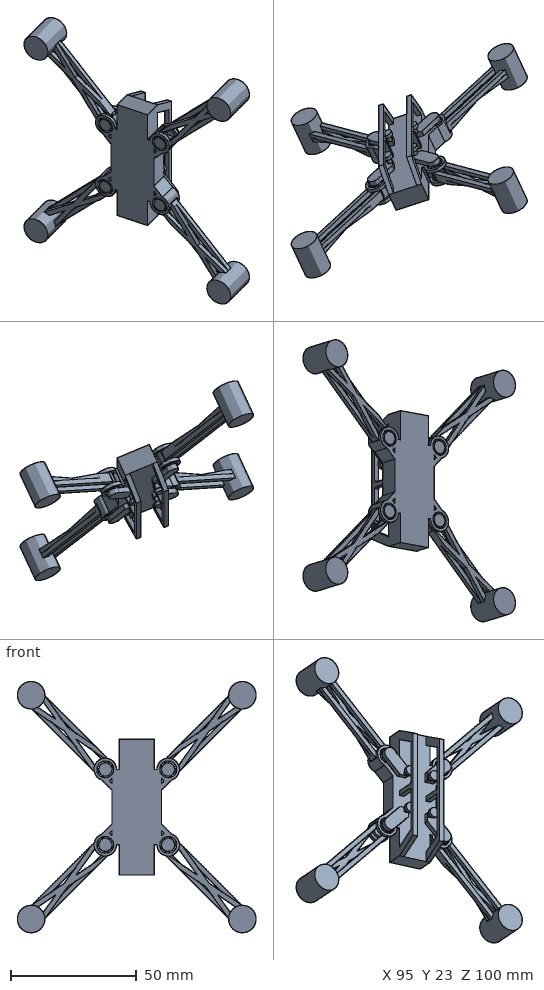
import cadquery as cq
import math

bar_width = 14.0
bar_height = 54.0
middle_width = 19.8
housing_depth = 8.0

hinge_x = 12.5
hinge_z = 15.0
arm_angle = 45.0
fork_diameter = 9.0
fork_plate = 1.5
fork_web_width = 8.0
hinge_hole_diameter = 6.6
relief_along = 4.4
relief_aside = 2.1

skid_thickness = 2.0
skid_back = 19.0
skid_back_height = 44.0
skid_rail_depth = 2.0
skid_window_height = 38.0
skid_strut_height = 2.0
skid_strut_chamfer = 0.6

motor_diameter = 11.0
motor_front = -4.0
motor_length = 15.0
motor_offset = 29.5
arm_reach = motor_offset * math.sqrt(2)
arm_width = 7.5
arm_front = 2.0
arm_depth = 4.0
rail_width = 2.0
arm_corner = 1.2
brace_width = 2.0
brace_depth = arm_depth / 2
rising_brace_cross = 21.0
rising_brace_angle = 9.2
falling_brace_cross = 23.5
falling_brace_angle = -10.8

pin_diameter = 5.3
lever_gap = 0.3
lever_thickness = 2.2
post_distance = 10.0
stem_diameter = 2.0
stem_length = 2.3
head_diameter = 4.0
head_length = 1.5

lever_front = housing_depth + lever_gap
lever_back = lever_front + lever_thickness


def slab(front, depth, outline):
    """Extrude an XZ outline from Y = front towards +Y."""
    plane = cq.Plane(origin=(0, front, 0), xDir=(1, 0, 0), normal=(0, -1, 0))
    return outline(cq.Workplane(plane)).extrude(-depth)


def block(x_range, z_range, front, depth):
    """Box given by its X range, Z range, front Y and depth."""
    x0, x1 = x_range
    z0, z1 = z_range
    return cq.Workplane("XY").box(x1 - x0, depth, z1 - z0, centered=False).translate((x0, front, z0))


def disc(diameter, front, depth, x=0.0):
    """Cylinder along Y, with its axis at the given X and Z = 0."""
    return slab(front, depth, lambda wp: wp.center(x, 0).circle(diameter / 2))


def place_on_hinge(shape):
    """Turn the +X arm line of a shape to the arm angle and put its origin on the upper right hinge."""
    return shape.rotate((0, 0, 0), (0, 1, 0), -arm_angle).translate((hinge_x, 0, hinge_z))


def on_four_corners(shape):
    """The upper right shape and its mirror images in the other three corners."""
    right = [shape, shape.mirror("XY")]
    return right + [item.mirror("YZ") for item in right]


def make_fork():
    """Round fork blank with a web that slopes down to the housing."""
    web_length = hinge_x * math.sqrt(2)
    web = block((-web_length, 0), (-fork_web_width / 2, fork_web_width / 2), 0, housing_depth)
    relief = block((-web_length, -relief_along), (-relief_aside, web_length), 0, housing_depth)
    web = place_on_hinge(web.cut(relief))
    above_hinge = block((-bar_height, bar_height), (hinge_z, bar_height), 0, housing_depth)
    return place_on_hinge(disc(fork_diameter, 0, housing_depth)).union(web.cut(above_hinge))


def make_hinge_cut():
    """Hole for the hinge pin and the gap between the fork plates, open upwards for folding."""
    gap_x = (hinge_x - fork_diameter / 2, hinge_x + fork_diameter)
    gap_z = (hinge_z - arm_corner, hinge_z + fork_diameter)
    gap = block(gap_x, gap_z, fork_plate, housing_depth - 2 * fork_plate)
    return gap.union(place_on_hinge(disc(hinge_hole_diameter, 0, housing_depth)))


def make_skid():
    """Skid frame in the YZ plane, with a strut at mid height."""
    half_bar = bar_height / 2
    half_back = skid_back_height / 2
    window_back = skid_back - skid_rail_depth
    half_window = skid_window_height / 2
    slope = (half_bar - half_back) / (skid_back - housing_depth)
    half_window_root = half_window + slope * (window_back - housing_depth)
    half_strut = skid_strut_height / 2

    frame = cq.Workplane("YZ").polyline([
        (housing_depth, -half_bar),
        (skid_back, -half_back),
        (skid_back, half_back),
        (housing_depth, half_bar),
    ]).close().extrude(skid_thickness)
    window = cq.Workplane("YZ").polyline([
        (housing_depth, half_strut),
        (window_back - skid_strut_chamfer, half_strut),
        (window_back, half_strut + skid_strut_chamfer),
        (window_back, half_window),
        (housing_depth, half_window_root),
    ]).close().extrude(skid_thickness)
    frame = frame.cut(window).cut(window.mirror("XY"))
    return frame.translate((bar_width / 2 - skid_thickness, 0, 0))


def make_housing():
    half_bar = bar_width / 2
    half_middle = middle_width / 2
    body = block((-half_bar, half_bar), (-bar_height / 2, bar_height / 2), 0, housing_depth)
    for fork in on_four_corners(make_fork()):
        body = body.union(fork)
    body = body.union(block((-half_middle, half_middle), (-hinge_z, hinge_z), 0, housing_depth))
    for hinge_cut in on_four_corners(make_hinge_cut()):
        body = body.cut(hinge_cut)
    skid = make_skid()
    return body.union(skid).union(skid.mirror("YZ"))


def make_brace(cross, angle):
    """Straight diagonal brace crossing the arm line at X = cross."""
    half_width = brace_width / 2
    brace = block((-arm_reach, arm_reach), (-half_width, half_width), arm_front, brace_depth)
    return brace.rotate((0, 0, 0), (0, 1, 0), -angle).translate((cross, 0, 0))


def make_truss():
    """Two full-length rails with two crossed braces in front of them, along +X."""
    half_arm = arm_width / 2
    length = (-half_arm, arm_reach)
    envelope = block(length, (-half_arm, half_arm), arm_front, arm_depth)
    braces = make_brace(rising_brace_cross, rising_brace_angle)
    braces = braces.union(make_brace(falling_brace_cross, falling_brace_angle))
    truss = braces.intersect(envelope)
    rail_front = arm_front + brace_depth
    rail_depth = arm_depth - brace_depth
    for z_range in ((half_arm - rail_width, half_arm), (-half_arm, rail_width - half_arm)):
        truss = truss.union(block(length, z_range, rail_front, rail_depth))
    return truss


def make_lever():
    """Lever behind the housing: round at the pin, pointed around the post."""
    half_width = pin_diameter / 2
    tip = post_distance + stem_diameter / 2 * math.sqrt(2)
    shoulder = tip - half_width
    lever = slab(lever_front, lever_thickness, lambda wp: wp.polyline([
        (0, half_width),
        (-shoulder, half_width),
        (-tip, 0),
        (-shoulder, -half_width),
        (0, -half_width),
    ]).close())
    lever = lever.union(disc(pin_diameter, lever_front, lever_thickness))
    stem = disc(stem_diameter, lever_back, stem_length, -post_distance)
    head = disc(head_diameter, lever_back + stem_length, head_length, -post_distance)
    return lever.union(stem).union(head)


def make_arm():
    """Truss with a square inner corner seated in the notched hinge pin, plus motor and lever."""
    corner_x = hinge_x - arm_corner
    corner_z = hinge_z - arm_corner
    notch_x = (corner_x, corner_x + arm_reach)
    notch_z = (corner_z, corner_z + arm_reach)
    notch = block(notch_x, notch_z, arm_front, lever_front - arm_front)
    pin = place_on_hinge(disc(pin_diameter, 0, lever_front)).cut(notch)
    arm = place_on_hinge(make_truss()).intersect(notch).union(pin)
    motor = disc(motor_diameter, motor_front, motor_length, arm_reach)
    return arm.union(place_on_hinge(motor)).union(place_on_hinge(make_lever()))


housing = make_housing()
arms = on_four_corners(make_arm())

result = cq.Compound.makeCompound([housing.val(), *[arm.val() for arm in arms]])